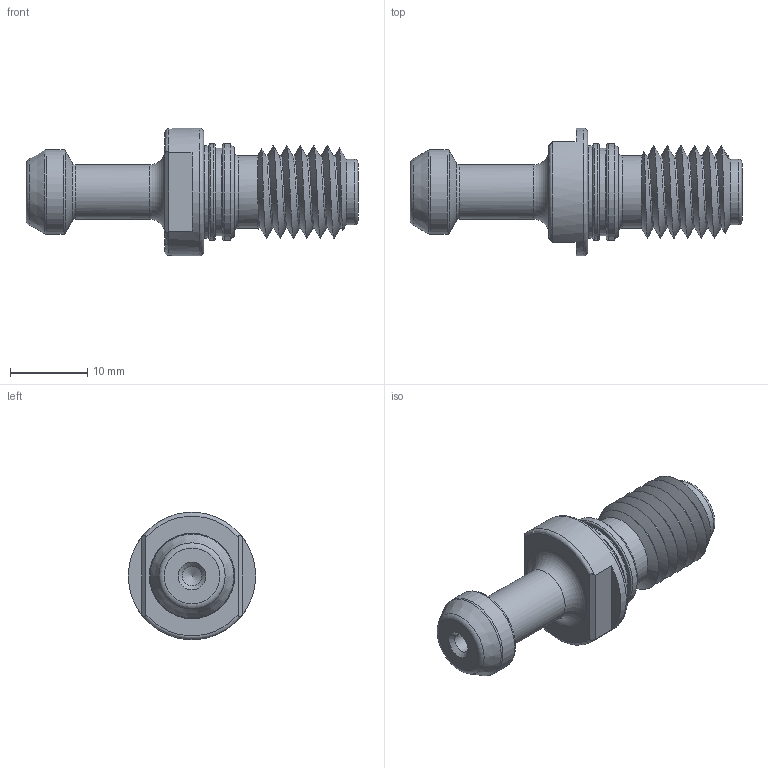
import cadquery as cq
import math

STEEP = math.tan(math.radians(60))
GENTLE = math.tan(math.radians(30))

head_radius = 5.5
head_cone_length = 2.5
neck_radius = 3.525
neck_start = 6.12
head_face_fillet = 0.8
head_front_fillet = 0.5
head_back_fillet = 0.3
neck_head_fillet = 0.5
neck_flange_fillet = 2.0

flange_radius = 8.25
flange_start = 18.0
flange_end = 23.0
flange_edge = 0.5
across_flats = 13.0
flat_end = 21.5
cutter_margin = 1.0

collar_radius = 6.25
collar_relief_radius = 6.0
collar_relief_end = 23.7
front_ring_end = 24.5
ring_groove_radius = 5.65
ring_groove_end = 25.45
collar_end = 27.0
collar_edge = 0.5
ring_edge = 0.2
inner_fillet = 0.1

thread_radius = 6.0
thread_pitch = 1.75
thread_start = 30.0
root_radius = 4.7
thread_crest_on_top = 30.27
root_fillet = 0.5
trim_margin = 0.2
spare_turns = 2
ridge_embedding = 0.15

pilot_radius = 4.25
pilot_start = 41.45
part_length = 43.0
pilot_edge = 0.5

hole_radius = 1.25
hole_mouth_radius = 1.8
hole_depth = 6.0
drill_tip_angle = 118.0


def revolved(points):
    """Revolve an (x, radius) outline about the X axis."""
    return cq.Workplane("XY").polyline(points).close().revolve(360, (0, 0, 0), (1, 0, 0))


def fillet_circle(body, x, radius, size):
    """Round the full circular edges of the given radius at the given x."""
    edges = [
        edge
        for edge in body.edges("%CIRCLE").vals()
        if math.isclose(edge.Center().x, x, abs_tol=1e-4)
        and math.isclose(edge.radius(), radius, abs_tol=1e-4)
    ]
    return body.newObject(edges).fillet(size)


def make_body():
    """Turned stud from the head face to the start of the thread."""
    head_face_radius = head_radius - head_cone_length * GENTLE
    head_back = neck_start - (head_radius - neck_radius) / STEEP
    body = revolved([
        (0, 0),
        (0, head_face_radius),
        (head_cone_length, head_radius),
        (head_back, head_radius),
        (neck_start, neck_radius),
        (flange_start, neck_radius),
        (flange_start, flange_radius),
        (flange_end, flange_radius),
        (flange_end, collar_relief_radius),
        (collar_relief_end, collar_relief_radius),
        (collar_relief_end, collar_radius),
        (front_ring_end, collar_radius),
        (front_ring_end, ring_groove_radius),
        (ring_groove_end, ring_groove_radius),
        (ring_groove_end, collar_radius),
        (collar_end - collar_edge, collar_radius),
        (collar_end, collar_radius - collar_edge),
        (collar_end, root_radius),
        (thread_start, root_radius),
        (thread_start, 0),
    ])
    rounded_circles = [
        (0, head_face_radius, head_face_fillet),
        (head_cone_length, head_radius, head_front_fillet),
        (head_back, head_radius, head_back_fillet),
        (neck_start, neck_radius, neck_head_fillet),
        (flange_start, neck_radius, neck_flange_fillet),
        (flange_start, flange_radius, flange_edge),
        (flange_end, flange_radius, flange_edge),
        (flange_end, collar_relief_radius, inner_fillet),
        (collar_relief_end, collar_relief_radius, inner_fillet),
        (collar_relief_end, collar_radius, ring_edge),
        (front_ring_end, collar_radius, ring_edge),
        (front_ring_end, ring_groove_radius, inner_fillet),
        (ring_groove_end, ring_groove_radius, inner_fillet),
        (ring_groove_end, collar_radius, ring_edge),
        (collar_end, root_radius, root_fillet),
    ]
    for x, radius, size in rounded_circles:
        body = fillet_circle(body, x, radius, size)
    return body


def make_flat_cutter(side):
    """Material outside one wrench flat (side = 1 or -1), with the chamfer on its leading edge."""
    flat = across_flats / 2
    outline = [
        (flange_start, flat - flange_edge),
        (flange_start + flange_edge, flat),
        (flat_end, flat),
        (flat_end, flange_radius + cutter_margin),
        (flange_start, flange_radius + cutter_margin),
    ]
    return (
        cq.Workplane("XY")
        .polyline([(x, side * y) for x, y in outline])
        .close()
        .extrude(flange_radius, both=True)
    )


def make_hole():
    """Blind centre hole with a 45 degree mouth and a drill point."""
    mouth_depth = hole_mouth_radius - hole_radius
    tip_length = hole_radius / math.tan(math.radians(drill_tip_angle / 2))
    return revolved([
        (0, 0),
        (0, hole_mouth_radius),
        (mouth_depth, hole_radius),
        (hole_depth, hole_radius),
        (hole_depth + tip_length, 0),
    ])


def make_thread():
    """Threaded core with a right-hand 60 degree ridge, a cone at each end, and the pilot."""
    base_radius = root_radius - ridge_embedding
    half_width = (thread_radius - base_radius) / STEEP
    spare_length = spare_turns * thread_pitch
    helix_start = thread_crest_on_top - thread_pitch
    helix_length = math.ceil(pilot_start - helix_start + spare_length)
    helix = cq.Wire.makeHelix(thread_pitch, helix_length, base_radius)
    ridge = (
        cq.Workplane("XZ")
        .polyline([
            (base_radius, -half_width),
            (thread_radius, 0),
            (base_radius, half_width),
        ])
        .close()
        .sweep(cq.Workplane(obj=helix), isFrenet=True)
        .rotate((0, 0, 0), (0, 1, 0), 90)
        .rotate((0, 0, 0), (1, 0, 0), 180)
        .translate((helix_start, 0, 0))
    )
    core_start = helix_start - spare_length
    core_length = helix_length + 2 * spare_length
    core = cq.Workplane("YZ", origin=(core_start, 0, 0)).circle(root_radius).extrude(core_length)
    trim_radius = thread_radius + trim_margin
    envelope = revolved([
        (thread_start, 0),
        (thread_start, root_radius),
        (thread_start + (trim_radius - root_radius) / STEEP, trim_radius),
        (pilot_start - (trim_radius - pilot_radius) / STEEP, trim_radius),
        (pilot_start, pilot_radius),
        (part_length, pilot_radius),
        (part_length, 0),
    ])
    envelope = fillet_circle(envelope, part_length, pilot_radius, pilot_edge)
    return core.union(ridge).intersect(envelope)


result = make_body().union(make_thread())
for flat_side in (1, -1):
    result = result.cut(make_flat_cutter(flat_side))
result = result.cut(make_hole()).solids()